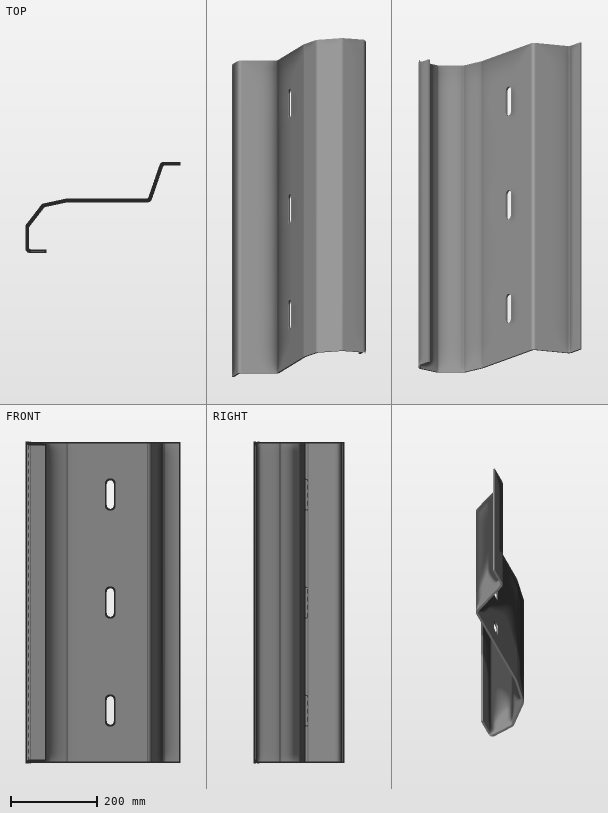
import cadquery as cq
import math

width = 356.25
depth = 207.27
length = 742.0

thickness = 5.0
inner_bend_radius = 5.0
half_thickness = thickness / 2
bend_radius = inner_bend_radius + half_thickness
outer_bend_radius = inner_bend_radius + thickness

lip_end_x = 45.0
lip_y = half_thickness
wall_x = half_thickness
wall_top_y = 60.0
shoulder_x = 40.0
shoulder_y = 108.5
web_start_x = 94.5
web_y = 120.0
web_end_x = 285.6
flange_start_x = 314.6
flange_y = depth - half_thickness

bend_overhang = 1.0
lip_setback = 5.0
lip_shortening = bend_overhang + lip_setback

slot_width = 20.0
slot_length = 70.0
slot_x = 195.0
slot_pitch = 250.0
slot_count = 3

clearance = 1.0


def bend_tangent_points(before, corner, after):
    """Points where a bend arc leaves and rejoins the two straight legs at a corner."""
    leg_in = (cq.Vector(*before) - cq.Vector(*corner)).normalized()
    leg_out = (cq.Vector(*after) - cq.Vector(*corner)).normalized()
    setback = bend_radius / math.tan(leg_in.getAngle(leg_out) / 2)
    start = cq.Vector(*corner) + leg_in * setback
    end = cq.Vector(*corner) + leg_out * setback
    return (start.x, start.y), (end.x, end.y)


def folded_sheet():
    """Sheet of constant thickness following the rounded centreline, standing on Z = 0."""
    corners = [
        (lip_end_x, lip_y),
        (wall_x, lip_y),
        (wall_x, wall_top_y),
        (shoulder_x, shoulder_y),
        (web_start_x, web_y),
        (web_end_x, web_y),
        (flange_start_x, flange_y),
        (width, flange_y),
    ]
    path = cq.Workplane("XY").moveTo(*corners[0])
    for before, corner, after in zip(corners, corners[1:], corners[2:]):
        bend_start, bend_end = bend_tangent_points(before, corner, after)
        path = path.lineTo(*bend_start).tangentArcPoint(bend_end, relative=False)
    path = path.lineTo(*corners[-1])
    section = cq.Workplane("YZ", origin=(lip_end_x, lip_y, length / 2)).rect(thickness, length)
    return section.sweep(path)


def end_cutter():
    """Body removed at Z = 0: a thin trim off the sheet, a square cut on the lip, a ramp on the bend."""
    beyond_wall = cq.Workplane("XY").box(
        width + 2 * clearance,
        depth - outer_bend_radius + clearance,
        bend_overhang + clearance,
        centered=False,
    ).translate((-clearance, outer_bend_radius, -clearance))

    cut_depth = thickness + 2 * clearance
    lip_cut = cq.Workplane("XY").box(
        lip_end_x - outer_bend_radius + clearance,
        cut_depth,
        lip_shortening + clearance,
        centered=False,
    ).translate((outer_bend_radius, -clearance, -clearance))

    helix = cq.Wire.makeHelix(4 * lip_shortening, lip_shortening, bend_radius)
    bend_cut = (
        cq.Workplane("XZ", origin=(bend_radius, 0, -lip_shortening / 2))
        .rect(cut_depth, lip_shortening)
        .sweep(cq.Workplane(helix), isFrenet=True)
        .rotate((0, 0, 0), (0, 0, 1), 180)
        .translate((outer_bend_radius, outer_bend_radius, 0))
    )
    return beyond_wall.union(lip_cut).union(bend_cut)


def slots():
    """Row of lengthwise slots through the web, centred on the length."""
    return (
        cq.Workplane("XZ", origin=(slot_x, web_y, length / 2))
        .rarray(1, slot_pitch, 1, slot_count)
        .slot2D(slot_length, slot_width, 90)
        .extrude(thickness, both=True)
    )


bottom_cutter = end_cutter()
top_cutter = bottom_cutter.mirror("XY", (0, 0, length / 2))

result = folded_sheet().cut(bottom_cutter).cut(top_cutter).cut(slots())